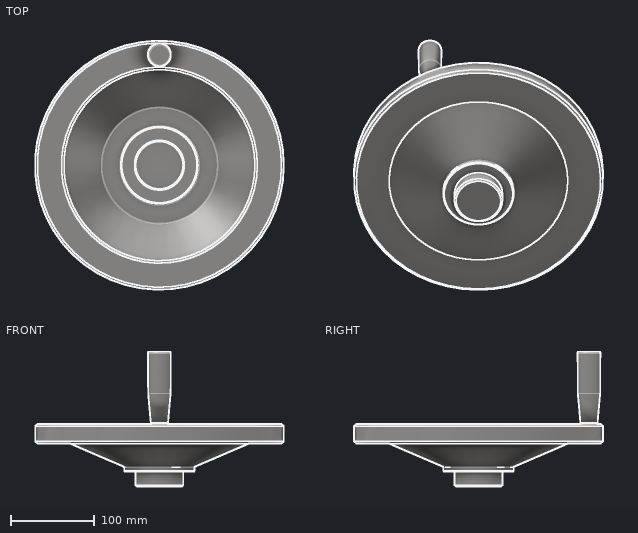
import cadquery as cq

wheel_diameter = 300.0
rim_inner_diameter = 230.0
rim_thickness = 24.0
rim_chamfer = 3.0
rim_bottom_z = 51.9
rim_top_z = rim_bottom_z + rim_thickness

inner_wall_height = 2.0
dish_depth = 24.0
dish_floor_z = rim_top_z - dish_depth
dish_floor_diameter = 140.0
dish_floor_fillet = 2.0
dish_underside_diameter = 215.0

boss_diameter = 93.0
boss_height = 4.8
boss_top_z = dish_floor_z + boss_height
boss_chamfer = 1.2
boss_foot_fillet = 1.5
recess_diameter = 57.0
recess_chamfer = 1.5
recess_depth = 2.0

collar_diameter = 85.0
collar_bottom_z = 18.0
collar_top_z = 24.0
collar_chamfer = 1.2
collar_foot_fillet = 1.0
hub_diameter = 58.0
hub_chamfer = 2.2

handle_offset = 133.0
handle_top_z = 162.9
grip_top_diameter = 28.0
grip_break_diameter = 27.3
grip_break_z = 112.5
grip_base_diameter = 21.0
grip_top_fillet = 2.0
grip_base_chamfer = 1.0

match_tolerance = 0.01


def revolve_about_z(profile):
    """Spin a closed half profile, drawn as radius and height, around the Z axis."""
    return profile.revolve(360, (0, 0, 0), (0, 1, 0))


def fillet_circle(body, diameter, z, radius):
    """Round the circular edge of the given diameter at height z."""
    edges = body.edges("%CIRCLE").filter(
        lambda edge: abs(edge.radius() - diameter / 2) < match_tolerance
        and abs(edge.Center().z - z) < match_tolerance
    )
    return edges.fillet(radius)


def make_wheel():
    wheel_r = wheel_diameter / 2
    rim_inner_r = rim_inner_diameter / 2
    collar_r = collar_diameter / 2
    hub_r = hub_diameter / 2
    boss_r = boss_diameter / 2
    recess_r = recess_diameter / 2
    recess_floor_z = boss_top_z - recess_depth
    profile = (
        cq.Workplane("XZ")
        .moveTo(0, 0)
        .lineTo(hub_r - hub_chamfer, 0)
        .lineTo(hub_r, hub_chamfer)
        .lineTo(hub_r, collar_bottom_z)
        .lineTo(collar_r - collar_chamfer, collar_bottom_z)
        .lineTo(collar_r, collar_bottom_z + collar_chamfer)
        .lineTo(collar_r, collar_top_z)
        .lineTo(dish_underside_diameter / 2, rim_bottom_z)
        .lineTo(wheel_r - rim_chamfer, rim_bottom_z)
        .lineTo(wheel_r, rim_bottom_z + rim_chamfer)
        .lineTo(wheel_r, rim_top_z - rim_chamfer)
        .lineTo(wheel_r - rim_chamfer, rim_top_z)
        .lineTo(rim_inner_r + rim_chamfer, rim_top_z)
        .lineTo(rim_inner_r, rim_top_z - rim_chamfer)
        .lineTo(rim_inner_r, rim_top_z - rim_chamfer - inner_wall_height)
        .lineTo(dish_floor_diameter / 2, dish_floor_z)
        .lineTo(boss_r, dish_floor_z)
        .lineTo(boss_r, boss_top_z - boss_chamfer)
        .lineTo(boss_r - boss_chamfer, boss_top_z)
        .lineTo(recess_r + recess_chamfer, boss_top_z)
        .lineTo(recess_r, boss_top_z - recess_chamfer)
        .lineTo(recess_r, recess_floor_z)
        .lineTo(0, recess_floor_z)
        .close()
    )
    wheel = revolve_about_z(profile)
    corner_fillets = [
        (dish_floor_diameter, dish_floor_z, dish_floor_fillet),
        (boss_diameter, dish_floor_z, boss_foot_fillet),
        (collar_diameter, collar_top_z, collar_foot_fillet),
    ]
    for diameter, z, radius in corner_fillets:
        wheel = fillet_circle(wheel, diameter, z, radius)
    return wheel


def make_handle():
    base_r = grip_base_diameter / 2
    top_r = grip_top_diameter / 2
    profile = (
        cq.Workplane("XZ")
        .moveTo(0, rim_top_z)
        .lineTo(base_r - grip_base_chamfer, rim_top_z)
        .lineTo(base_r, rim_top_z + grip_base_chamfer)
        .lineTo(grip_break_diameter / 2, grip_break_z)
        .lineTo(top_r, handle_top_z)
        .lineTo(0, handle_top_z)
        .close()
    )
    handle = revolve_about_z(profile).faces(">Z").edges().fillet(grip_top_fillet)
    return handle.translate((0, handle_offset, 0))


wheel = make_wheel()
handle = make_handle()
result = cq.Compound.makeCompound([wheel.val(), handle.val()])